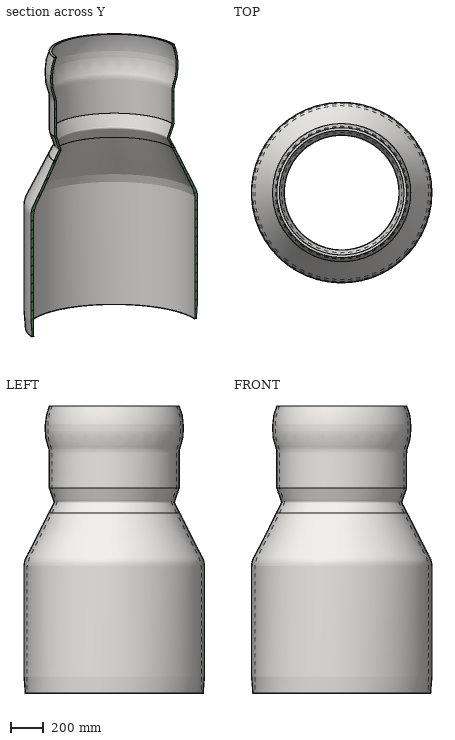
import cadquery as cq

SPIGOT_TOP_Z = 102.0
PIPE_TOP_Z = 774.0
SHOULDER_TOP_Z = 826.0
JOINT_Z = 1099.0
NECK_BOTTOM_Z = 1155.0
NECK_TOP_Z = 1173.0
SLEEVE_BOTTOM_Z = 1251.0
SLEEVE_TOP_Z = 1465.0
BULGE_BOTTOM_Z = 1505.0
BULGE_BAND_BOTTOM_Z = 1596.0
BULGE_BAND_TOP_Z = 1636.0
RIM_Z = 1750.0

PIPE_RADIUS = 1100.0 / 2
PIPE_BORE_RADIUS = 1060.0 / 2
SPIGOT_END_RADIUS = 543.0
SHOULDER_RADIUS = 537.0
PIPE_WALL = PIPE_RADIUS - PIPE_BORE_RADIUS

JOINT_RADIUS = 399.0
JOINT_WALL = 20.0
JOINT_BORE_RADIUS = JOINT_RADIUS - JOINT_WALL

SLEEVE_RADIUS = 793.0 / 2
SLEEVE_BORE_RADIUS = 760.0 / 2
BULGE_RADIUS = 842.0 / 2
BULGE_BORE_RADIUS = 810.0 / 2
NECK_RADIUS = 370.0
NECK_WALL = 18.0
NECK_ROUNDING = 15.0
RIM_RADIUS = 395.0
RIM_WALL = 15.0


def revolved(outline):
    """Revolve a closed (radius, height) outline about the Z axis."""
    return outline.revolve(360, (0, 0, 0), (0, 1, 0))


def reducer_body():
    """Straight pipe with a rounded shoulder and a cone up to the seam."""
    outline = (
        cq.Workplane("XZ")
        .moveTo(PIPE_BORE_RADIUS, 0)
        .lineTo(SPIGOT_END_RADIUS, 0)
        .lineTo(PIPE_RADIUS, SPIGOT_TOP_Z)
        .lineTo(PIPE_RADIUS, PIPE_TOP_Z)
        .tangentArcPoint((SHOULDER_RADIUS, SHOULDER_TOP_Z), relative=False)
        .lineTo(JOINT_RADIUS, JOINT_Z)
        .lineTo(JOINT_BORE_RADIUS, JOINT_Z)
        .lineTo(SHOULDER_RADIUS - PIPE_WALL, SHOULDER_TOP_Z)
        .lineTo(PIPE_BORE_RADIUS, PIPE_TOP_Z)
        .close()
    )
    return revolved(outline)


def socket_envelope(joint_radius, neck_radius, sleeve_radius, bulge_radius, rim_radius):
    """Solid of revolution with the socket's contour; used for its outside and its bore."""
    turn_share = (BULGE_BOTTOM_Z - SLEEVE_TOP_Z) / (BULGE_BAND_BOTTOM_Z - SLEEVE_TOP_Z)
    turn_radius = sleeve_radius + turn_share * (bulge_radius - sleeve_radius)
    outline = (
        cq.Workplane("XZ")
        .moveTo(0, JOINT_Z)
        .lineTo(joint_radius, JOINT_Z)
        .lineTo(neck_radius, NECK_BOTTOM_Z)
        .radiusArc((neck_radius, NECK_TOP_Z), NECK_ROUNDING)
        .lineTo(sleeve_radius, SLEEVE_BOTTOM_Z)
        .lineTo(sleeve_radius, SLEEVE_TOP_Z)
        .tangentArcPoint((turn_radius, BULGE_BOTTOM_Z), relative=False)
        .tangentArcPoint((bulge_radius, BULGE_BAND_BOTTOM_Z), relative=False)
        .lineTo(bulge_radius, BULGE_BAND_TOP_Z)
        .tangentArcPoint((rim_radius, RIM_Z), relative=False)
        .lineTo(0, RIM_Z)
        .close()
    )
    return revolved(outline)


def socket_body():
    """Thin-walled socket: flared foot, rounded neck, sleeve and bulged mouth."""
    outside = socket_envelope(JOINT_RADIUS, NECK_RADIUS, SLEEVE_RADIUS, BULGE_RADIUS, RIM_RADIUS)
    bore = socket_envelope(
        JOINT_BORE_RADIUS,
        NECK_RADIUS - NECK_WALL,
        SLEEVE_BORE_RADIUS,
        BULGE_BORE_RADIUS,
        RIM_RADIUS - RIM_WALL,
    )
    return outside.cut(bore)


reducer = reducer_body()
socket = socket_body()

result = cq.Compound.makeCompound([reducer.val(), socket.val()])